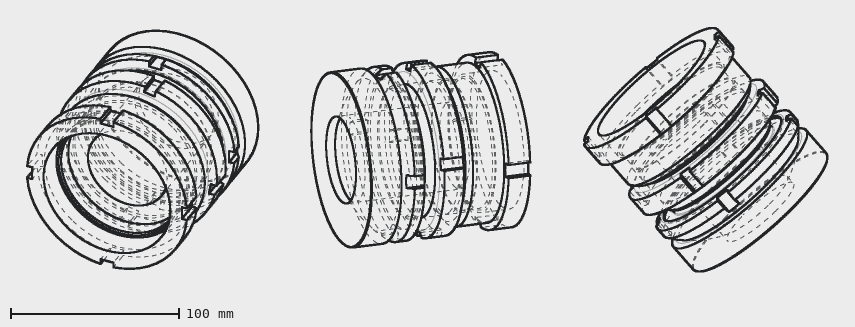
import cadquery as cq
import math

outer_radius = 52.5
ring_face_radius = 47.5
bevel_angle = 15.0
bevel_slope = math.tan(math.radians(bevel_angle))
bevel_width = (outer_radius - ring_face_radius) * bevel_slope
slot_count = 4

flange_width = 15.0
sleeve_radius = 48.0
sleeve_length = 38.0
sleeve_chamfer = 3.5
sleeve_bore_radius = 41.5
sleeve_bore_depth = 17.8
lead_in_radius = 40.0
thread_minor_radius = 38.9
sleeve_slot_width = 8.4
sleeve_slot_depth = 3.5

nut_front = 40.5
nut_width = 15.0
nut_slot_width = 7.0
nut_slot_depth = 3.5
nut_turn = 10.0

through_radius = 26.0
stem_radius = 40.0
stem_front = 28.9
undercut_radius = 38.5
undercut_fillet = 0.6
recess_radius = 45.8
recess_depth = 1.5
stem_end = 62.0
undercut_start = stem_end + (stem_radius - undercut_radius)
ring_front = 65.3
ring_rim_end = 72.9
sphere_radius = 64.0
sphere_center = ring_rim_end - math.sqrt(sphere_radius**2 - outer_radius**2)
ring_slot_width = 8.0
ring_slot_depth = 3.3
ring_slot_runout = 1.0
ring_turn = 0.75

base_front = 80.35
base_back = 100.45
base_back_chamfer = 0.5
base_face_radius = 49.0
base_bevel_width = (outer_radius - base_face_radius) * bevel_slope
base_tilt_x = 0.036
base_tilt_z = 0.012


def sphere_station(radius):
    """Station where the sphere has the given radius about the Y axis."""
    return sphere_center + math.sqrt(sphere_radius**2 - radius**2)


def revolve_about_y(profile):
    """Full turn of a closed (radius, station) profile about the Y axis."""
    return profile.close().revolve(360, (0, 0, 0), (0, 1, 0))


def cut_spanner_slots(body, width, depth, start, end, turn):
    """Cut equally spaced flat-bottomed slots into the rim between two stations."""
    slot = (
        cq.Workplane("XY")
        .box(width, end - start, 2 * depth)
        .translate((0, (start + end) / 2, outer_radius))
    )
    for index in range(slot_count):
        angle = turn + index * 360 / slot_count
        body = body.cut(slot.rotate((0, 0, 0), (0, 1, 0), angle))
    return body


def make_sleeve():
    lead_in_end = sleeve_bore_depth + lead_in_radius - thread_minor_radius
    flange_foot = flange_width - bevel_slope * (sleeve_radius - ring_face_radius)
    body = revolve_about_y(
        cq.Workplane("XY")
        .moveTo(sleeve_bore_radius, 0)
        .lineTo(outer_radius, 0)
        .lineTo(outer_radius, flange_width - bevel_width)
        .lineTo(sleeve_radius, flange_foot)
        .lineTo(sleeve_radius, sleeve_length - sleeve_chamfer)
        .lineTo(sleeve_radius - sleeve_chamfer, sleeve_length)
        .lineTo(stem_radius, sleeve_length)
        .lineTo(stem_radius, stem_front)
        .lineTo(thread_minor_radius, stem_front)
        .lineTo(thread_minor_radius, lead_in_end)
        .lineTo(lead_in_radius, sleeve_bore_depth)
        .lineTo(sleeve_bore_radius, sleeve_bore_depth)
    )
    return cut_spanner_slots(body, sleeve_slot_width, sleeve_slot_depth, 0, flange_width, 0)


def make_lock_nut():
    nut_back = nut_front + nut_width
    body = revolve_about_y(
        cq.Workplane("XY")
        .moveTo(stem_radius, nut_front)
        .lineTo(ring_face_radius, nut_front)
        .lineTo(outer_radius, nut_front + bevel_width)
        .lineTo(outer_radius, nut_back - bevel_width)
        .lineTo(ring_face_radius, nut_back)
        .lineTo(stem_radius, nut_back)
    )
    return cut_spanner_slots(body, nut_slot_width, nut_slot_depth, nut_front, nut_back, nut_turn)


def make_spherical_ring():
    recess_floor = ring_front + recess_depth
    arc_middle = (outer_radius + through_radius) / 2
    body = revolve_about_y(
        cq.Workplane("XY")
        .moveTo(through_radius, stem_front)
        .lineTo(stem_radius, stem_front)
        .lineTo(stem_radius, stem_end)
        .lineTo(undercut_radius, undercut_start)
        .lineTo(undercut_radius, recess_floor - undercut_fillet)
        .radiusArc((undercut_radius + undercut_fillet, recess_floor), undercut_fillet)
        .lineTo(recess_radius, recess_floor)
        .lineTo(recess_radius, ring_front)
        .lineTo(ring_face_radius, ring_front)
        .lineTo(outer_radius, ring_front + bevel_width)
        .lineTo(outer_radius, ring_rim_end)
        .threePointArc(
            (arc_middle, sphere_station(arc_middle)),
            (through_radius, sphere_station(through_radius)),
        )
    )
    slot_end = sphere_station(outer_radius - ring_slot_depth) + ring_slot_runout
    return cut_spanner_slots(body, ring_slot_width, ring_slot_depth, ring_front, slot_end, ring_turn)


def make_base_ring():
    seat_radius = math.sqrt(sphere_radius**2 - (base_front - sphere_center)**2)
    arc_middle = (seat_radius + through_radius) / 2
    body = revolve_about_y(
        cq.Workplane("XY")
        .moveTo(seat_radius, base_front)
        .lineTo(base_face_radius, base_front)
        .lineTo(outer_radius, base_front + base_bevel_width)
        .lineTo(outer_radius, base_back - base_back_chamfer)
        .lineTo(outer_radius - base_back_chamfer, base_back)
        .lineTo(through_radius, base_back)
        .lineTo(through_radius, sphere_station(through_radius))
        .threePointArc(
            (arc_middle, sphere_station(arc_middle)),
            (seat_radius, base_front),
        )
    )
    pivot = cq.Vector(0, sphere_center, 0)
    body = body.rotate(pivot, pivot + cq.Vector(1, 0, 0), base_tilt_x)
    return body.rotate(pivot, pivot + cq.Vector(0, 0, 1), -base_tilt_z)


sleeve = make_sleeve()
lock_nut = make_lock_nut()
spherical_ring = make_spherical_ring()
base_ring = make_base_ring()

result = cq.Compound.makeCompound([
    *sleeve.solids().vals(),
    *lock_nut.solids().vals(),
    *spherical_ring.solids().vals(),
    *base_ring.solids().vals(),
])